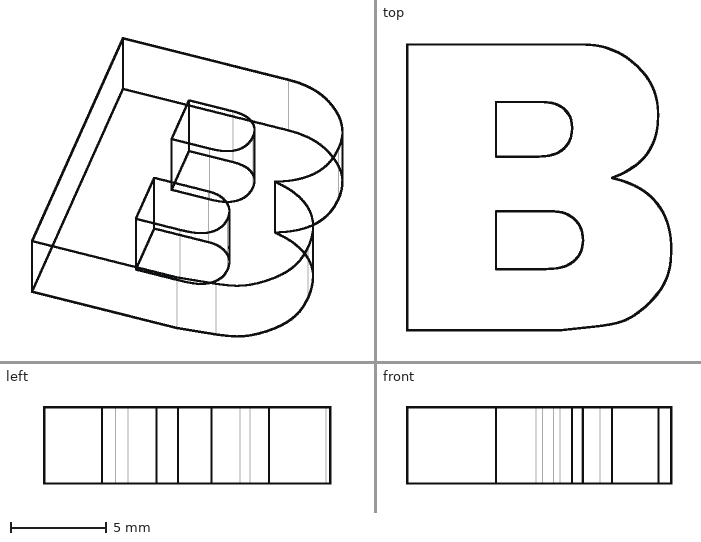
import cadquery as cq

height = 15.0
width = 13.86
thickness = 4.0

upper_bowl_start = 9.15
upper_bowl_shoulder = (12.03, 13.89)
upper_bowl_underside = (12.08, 8.72)
upper_bowl_tip = (13.17, 11.26)
waist_notch = (10.75, 8.0)
lower_bowl_shoulder = (12.93, 6.87)
lower_bowl_underside = [(13.32, 2.18), (11.85, 0.75)]
lower_bowl_tip = (width, 4.2)
lower_bowl_end = (10.11, 0.22)
foot_end = 8.01

stem_width = 4.66
upper_counter_bottom = 9.1
upper_counter_top = 11.97
lower_counter_bottom = 3.21
lower_counter_top = 6.24

RIGHT = (1, 0)
LEFT = (-1, 0)
DOWN = (0, -1)
INTO_NOTCH = (-1, -0.36)
OUT_OF_NOTCH = (1, -0.22)
INTO_FOOT = (-1, -0.14)


def letter_body():
    """Solid letter, without its counters."""
    return (
        cq.Workplane("XY")
        .lineTo(0, height)
        .lineTo(upper_bowl_start, height)
        .spline([upper_bowl_shoulder, upper_bowl_tip], tangents=[RIGHT, DOWN], includeCurrent=True)
        .spline([upper_bowl_underside, waist_notch], tangents=[DOWN, INTO_NOTCH], includeCurrent=True)
        .spline([lower_bowl_shoulder, lower_bowl_tip], tangents=[OUT_OF_NOTCH, DOWN], includeCurrent=True)
        .spline([*lower_bowl_underside, lower_bowl_end],
                tangents=[DOWN, INTO_FOOT], includeCurrent=True)
        .lineTo(foot_end, 0)
        .close()
        .extrude(thickness)
    )


def counter(bottom, top, top_end, top_shoulder, tip, bottom_shoulder, bottom_end):
    """D-shaped through opening, straight on the stem side."""
    return (
        cq.Workplane("XY")
        .moveTo(stem_width, bottom)
        .lineTo(stem_width, top)
        .lineTo(top_end, top)
        .spline([top_shoulder, tip], tangents=[RIGHT, DOWN], includeCurrent=True)
        .spline([bottom_shoulder, (bottom_end, bottom)], tangents=[DOWN, LEFT], includeCurrent=True)
        .close()
        .extrude(thickness)
    )


upper_counter = counter(
    upper_counter_bottom, upper_counter_top,
    top_end=7.11, top_shoulder=(8.2, 11.64), tip=(8.65, 10.6),
    bottom_shoulder=(8.24, 9.54), bottom_end=6.76,
)
lower_counter = counter(
    lower_counter_bottom, lower_counter_top,
    top_end=7.68, top_shoulder=(8.73, 5.88), tip=(9.22, 4.72),
    bottom_shoulder=(8.75, 3.63), bottom_end=7.11,
)

result = letter_body().cut(upper_counter).cut(lower_counter)